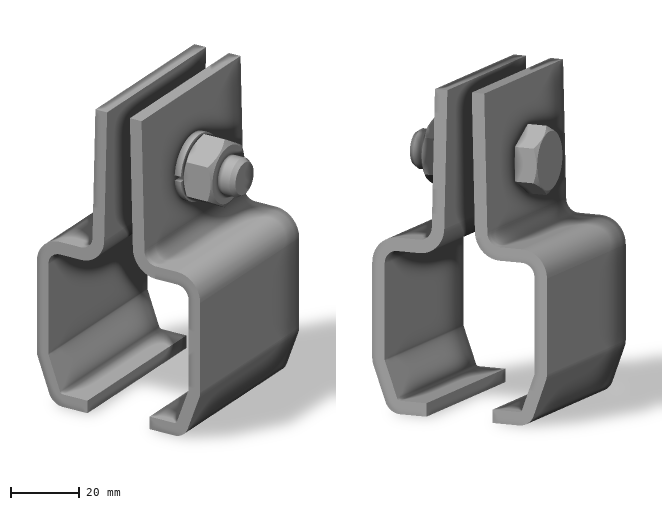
import cadquery as cq
import math

height = 98.5
depth = 55.0
half_width = 56.5 / 2
thickness = 4.0
top_half_gap = 3.9
upright_lean = 1.4
shoulder_height = 52.9
lip_half_gap = 10.7
slant_angle = 20.0
slant_start_height = 15.1
wide_bend_radius = 4.0
tight_bend_radius = 1.0
clearance_hole_diameter = 13.0

bolt_height = 74.0
shank_diameter = 12.0
seat_offset = 8.9
tip_position = 26.5
tip_diameter = 10.1
tip_chamfer_length = 1.5
head_height = 7.6
head_flats = 18.0
head_end_diameter = 17.6
head_face_diameter = 16.6
head_face_thickness = 0.5
nut_height = 9.9
nut_flats = 19.0
nut_end_diameter = 18.0
hex_chamfer_angle = 35.0
corner_clearance = 0.1
spring_washer_diameter = 21.1
spring_washer_thickness = 2.2
spring_washer_slit = 1.7


def cylinder_along_x(diameter, start, length):
    """Cylinder on the bolt axis."""
    plane = cq.Workplane("YZ", origin=(start, 0, bolt_height))
    return plane.circle(diameter / 2).extrude(length)


def hexagon_along_x(flats, start, length):
    """Hexagonal prism on the bolt axis with corners at +Z and -Z."""
    corners = flats / math.cos(math.radians(30))
    plane = cq.Workplane("YZ", origin=(start, 0, bolt_height))
    return plane.transformed(rotate=(0, 0, 90)).polygon(6, corners).extrude(length)


def corner_trimming_cone(flats, end_diameter, start, length, both_ends):
    """Turned blank whose conical ends chamfer the hexagon corners."""
    end_radius = end_diameter / 2
    outer_radius = flats / math.cos(math.radians(30)) / 2 + corner_clearance
    chamfer = (outer_radius - end_radius) * math.tan(math.radians(hex_chamfer_angle))
    end = start + length
    points = [(start, 0), (start, end_radius), (start + chamfer, outer_radius)]
    if both_ends:
        points += [(end - chamfer, outer_radius), (end, end_radius), (end, 0)]
    else:
        points += [(end, outer_radius), (end, 0)]
    profile = cq.Workplane("XZ", origin=(0, 0, bolt_height)).polyline(points).close()
    return profile.revolve(360, (0, 0, 0), (1, 0, 0))


def make_right_clamp():
    """Strip bent from the upright through shoulder, wall and slant to the lip."""
    lean = math.tan(math.radians(upright_lean))
    slant = math.tan(math.radians(slant_angle))
    wall_inner = half_width - thickness
    shoulder_bottom = shoulder_height - thickness
    upright_top_outer = top_half_gap + thickness / math.cos(math.radians(upright_lean))
    slant_inner_height = slant_start_height + thickness * math.tan(math.radians(slant_angle / 2))

    neck_inside = (upright_top_outer + (height - shoulder_height) * lean, shoulder_height)
    neck_outside = (top_half_gap + (height - shoulder_bottom) * lean, shoulder_bottom)
    shoulder_inside = (wall_inner, shoulder_bottom)
    shoulder_outside = (half_width, shoulder_height)
    slant_inside = (wall_inner, slant_inner_height)
    slant_outside = (half_width, slant_start_height)
    lip_inside = (wall_inner - (slant_inner_height - thickness) * slant, thickness)
    lip_outside = (half_width - slant_start_height * slant, 0)

    outline = [
        (top_half_gap, height),
        (upright_top_outer, height),
        neck_inside,
        shoulder_outside,
        slant_outside,
        lip_outside,
        (lip_half_gap, 0),
        (lip_half_gap, thickness),
        lip_inside,
        slant_inside,
        shoulder_inside,
        neck_outside,
    ]
    clamp = cq.Workplane("XZ").polyline(outline).close().extrude(depth / 2, both=True)
    bends = [
        (neck_inside, neck_outside, wide_bend_radius),
        (shoulder_inside, shoulder_outside, wide_bend_radius),
        (slant_inside, slant_outside, tight_bend_radius),
        (lip_inside, lip_outside, tight_bend_radius),
    ]
    for inside, outside, radius in bends:
        for (x, z), corner_radius in ((inside, radius), (outside, radius + thickness)):
            corner_edge = cq.selectors.NearestToPointSelector((x, 0, z))
            clamp = clamp.edges("|Y").edges(corner_edge).fillet(corner_radius)
    return clamp.cut(cylinder_along_x(clearance_hole_diameter, 0, half_width))


def make_bolt():
    """Hexagon head with a washer face, and a plain shank with a chamfered tip."""
    face_start = -seat_offset - head_face_thickness
    head_start = -seat_offset - head_height
    hex_length = face_start - head_start
    head = hexagon_along_x(head_flats, head_start, hex_length).intersect(
        corner_trimming_cone(head_flats, head_end_diameter, head_start, hex_length, False)
    )
    washer_face = cylinder_along_x(head_face_diameter, face_start, head_face_thickness)
    tip_chamfer_depth = (shank_diameter - tip_diameter) / 2
    shank = cylinder_along_x(shank_diameter, -seat_offset, tip_position + seat_offset)
    shank = shank.faces(">X").chamfer(tip_chamfer_length, tip_chamfer_depth)
    return head.union(washer_face).union(shank)


def make_spring_washer():
    """Flat ring split on the -Y side."""
    ring = cylinder_along_x(spring_washer_diameter, seat_offset, spring_washer_thickness)
    ring = ring.cut(cylinder_along_x(clearance_hole_diameter, seat_offset, spring_washer_thickness))
    slit = (
        cq.Workplane("XY")
        .box(spring_washer_thickness, spring_washer_diameter, spring_washer_slit)
        .translate((seat_offset + spring_washer_thickness / 2, -spring_washer_diameter / 2, bolt_height))
    )
    return ring.cut(slit)


def make_nut():
    """Hexagon nut chamfered at both ends."""
    start = seat_offset + spring_washer_thickness
    nut = hexagon_along_x(nut_flats, start, nut_height).intersect(
        corner_trimming_cone(nut_flats, nut_end_diameter, start, nut_height, True)
    )
    return nut.cut(cylinder_along_x(shank_diameter, start, nut_height))


right_clamp = make_right_clamp()
left_clamp = right_clamp.mirror("YZ")
bolt = make_bolt()
spring_washer = make_spring_washer()
nut = make_nut()

result = cq.Compound.makeCompound(
    [right_clamp.val(), left_clamp.val(), bolt.val(), spring_washer.val(), nut.val()]
)